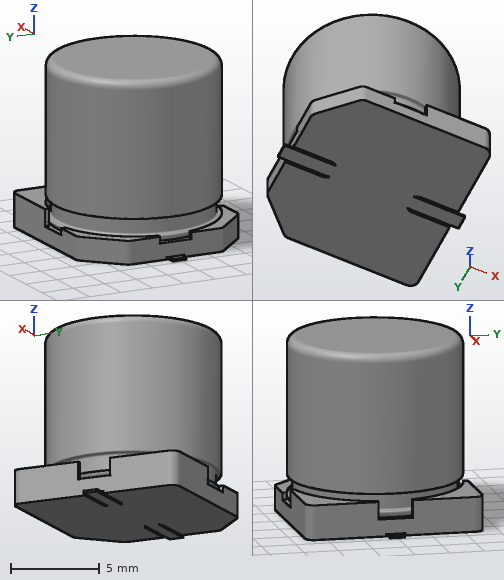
import cadquery as cq

base_width = 10.3
base_half = base_width / 2
low_top = 1.4
high_top = 2.02
corner_cut = 2.17
corner_radius = 0.52

window_width = 2.0
window_floor = 1.01
step_x = window_width / 2

overall_length = 11.3
lead_width = 0.86
lead_thickness = 0.14
slot_width = 1.13
slot_inner_end = 2.26

can_top = 10.5
can_radius = 5.0
top_rounding = 0.5

neck_radius = 4.69
groove_top = 2.41
groove_bottom = low_top
groove_lip_rounding = 0.08
groove_root_rounding = 0.11

bottom_rounding = groove_bottom - groove_lip_rounding - window_floor


def make_base_block():
    """Plate with two cut corners at -X, and a higher wall on the +X side of the step."""
    outline = (
        cq.Workplane("XY")
        .moveTo(base_half, -base_half)
        .lineTo(base_half, base_half)
        .lineTo(-base_half + corner_cut, base_half)
        .lineTo(-base_half, base_half - corner_cut)
        .lineTo(-base_half, -base_half + corner_cut)
        .lineTo(-base_half + corner_cut, -base_half)
        .close()
    )
    block = outline.extrude(high_top).edges("|Z").fillet(corner_radius)
    low_length = base_half + step_x
    above_low_side = (
        cq.Workplane("XY", origin=(step_x - low_length / 2, 0, low_top))
        .rect(low_length, base_width)
        .extrude(high_top - low_top)
    )
    return block.cut(above_low_side)


def make_seat():
    """Round recess for the can and the four windows that open it to the sides."""
    above_floor = high_top - window_floor
    floor_plane = cq.Workplane("XY", origin=(0, 0, window_floor))
    recess = floor_plane.circle(can_radius).extrude(above_floor)
    window_x = floor_plane.rect(base_width, window_width).extrude(above_floor)
    window_y = floor_plane.rect(window_width, base_width).extrude(above_floor)
    return recess.union(window_x).union(window_y)


def make_lead_slot(side):
    """Shallow slot in the underside, open at the base edge; side is -1 or +1 along X."""
    slot_radius = slot_width / 2
    round_center = slot_inner_end + slot_radius
    straight_length = base_half - round_center
    underside = cq.Workplane("XY")
    straight = (
        underside.center(side * (round_center + straight_length / 2), 0)
        .rect(straight_length, slot_width)
        .extrude(lead_thickness)
    )
    round_end = underside.center(side * round_center, 0).circle(slot_radius).extrude(lead_thickness)
    return straight.union(round_end)


def make_lead(side):
    """Flat lead from the inner end of its slot to beyond the base edge."""
    lead_length = overall_length / 2 - slot_inner_end
    return (
        cq.Workplane("XY", origin=(side * (slot_inner_end + lead_length / 2), 0, 0))
        .rect(lead_length, lead_width)
        .extrude(lead_thickness)
    )


def make_base():
    """Base with the seat cut out and one lead per side, fixed to the roof of its slot."""
    base = make_base_block().cut(make_seat())
    for side in (-1, 1):
        base = base.cut(make_lead_slot(side)).union(make_lead(side))
    return base


def make_can():
    """Turned can with rounded ends and a rounded groove just above its foot."""
    profile = (
        cq.Workplane("XZ")
        .moveTo(0, window_floor)
        .lineTo(can_radius - bottom_rounding, window_floor)
        .radiusArc((can_radius, window_floor + bottom_rounding), -bottom_rounding)
        .radiusArc((can_radius - groove_lip_rounding, groove_bottom), -groove_lip_rounding)
        .lineTo(neck_radius + groove_root_rounding, groove_bottom)
        .radiusArc((neck_radius, groove_bottom + groove_root_rounding), groove_root_rounding)
        .lineTo(neck_radius, groove_top - groove_root_rounding)
        .radiusArc((neck_radius + groove_root_rounding, groove_top), groove_root_rounding)
        .lineTo(can_radius - groove_lip_rounding, groove_top)
        .radiusArc((can_radius, groove_top + groove_lip_rounding), -groove_lip_rounding)
        .lineTo(can_radius, can_top - top_rounding)
        .radiusArc((can_radius - top_rounding, can_top), -top_rounding)
        .lineTo(0, can_top)
        .close()
    )
    return profile.revolve(360, (0, 0, 0), (0, 1, 0))


base = make_base()
can = make_can()

result = cq.Compound.makeCompound([base.val(), can.val()])